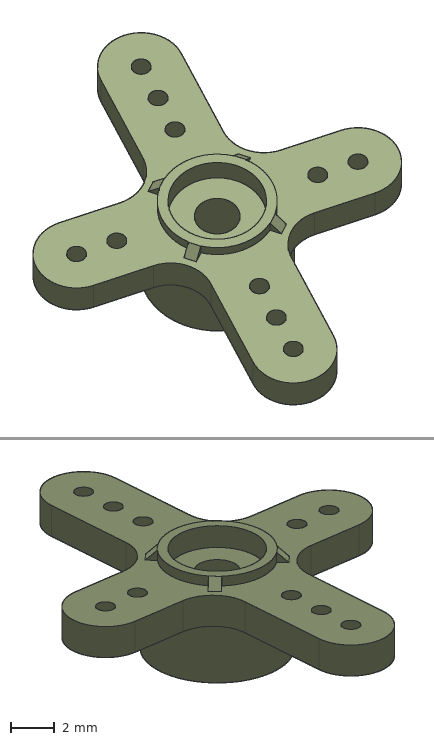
import cadquery as cq

span_x = 22.0
span_y = 18.0
arm_width = 4.0
arm_thickness = 1.6
inner_corner_radius = arm_width / 2

hole_diameter = 0.9
hole_pitch = arm_width / 2
holes_per_x_arm = 3
holes_per_y_arm = 2

hub_diameter = 7.1
hub_height = 3.0

collar_diameter = 5.5
collar_height = 0.5
recess_diameter = 4.5
recess_depth = 1.12
bore_diameter = 2.1

gusset_width = 0.62
gusset_reach = 0.55
gusset_angles = (45, 135, 225, 315)

arm_top = arm_thickness
collar_top = arm_top + collar_height


def make_arms():
    """Two crossing rounded bars with filleted inner corners."""
    bar_x = cq.Workplane("XY").slot2D(span_x, arm_width).extrude(arm_thickness)
    bar_y = cq.Workplane("XY").slot2D(span_y, arm_width, 90).extrude(arm_thickness)
    zone_size = 2 * arm_width
    corner_zone = cq.selectors.BoxSelector(
        (-zone_size / 2, -zone_size / 2, 0), (zone_size / 2, zone_size / 2, arm_thickness)
    )
    return bar_x.union(bar_y).edges("|Z").edges(corner_zone).fillet(inner_corner_radius)


def hole_positions():
    """Centres of the mounting holes, counted inward from each arm tip."""
    outer_x = (span_x - arm_width) / 2
    outer_y = (span_y - arm_width) / 2
    positions = []
    for side in (-1, 1):
        for i in range(holes_per_x_arm):
            positions.append((side * (outer_x - i * hole_pitch), 0))
        for i in range(holes_per_y_arm):
            positions.append((0, side * (outer_y - i * hole_pitch)))
    return positions


def make_gusset(angle):
    """Wedge falling from the collar rim to the top of the arms."""
    collar_radius = collar_diameter / 2
    root_radius = (collar_radius + recess_diameter / 2) / 2
    profile = [
        (root_radius, arm_top),
        (collar_radius + gusset_reach, arm_top),
        (collar_radius, collar_top),
        (root_radius, collar_top),
    ]
    wedge = cq.Workplane("XZ").polyline(profile).close().extrude(gusset_width / 2, both=True)
    return wedge.rotate((0, 0, 0), (0, 0, 1), angle)


def vertical_cylinder(diameter, bottom, top):
    """Round body on the Z axis between two heights."""
    return cq.Workplane("XY", origin=(0, 0, bottom)).circle(diameter / 2).extrude(top - bottom)


body = make_arms()
body = body.union(vertical_cylinder(hub_diameter, -hub_height, arm_top))
body = body.union(vertical_cylinder(collar_diameter, 0, collar_top))
for gusset_angle in gusset_angles:
    body = body.union(make_gusset(gusset_angle))

body = body.cut(vertical_cylinder(recess_diameter, collar_top - recess_depth, collar_top))
body = body.cut(vertical_cylinder(bore_diameter, -hub_height, collar_top))

mounting_holes = (
    cq.Workplane("XY").pushPoints(hole_positions()).circle(hole_diameter / 2).extrude(arm_thickness)
)
result = body.cut(mounting_holes)